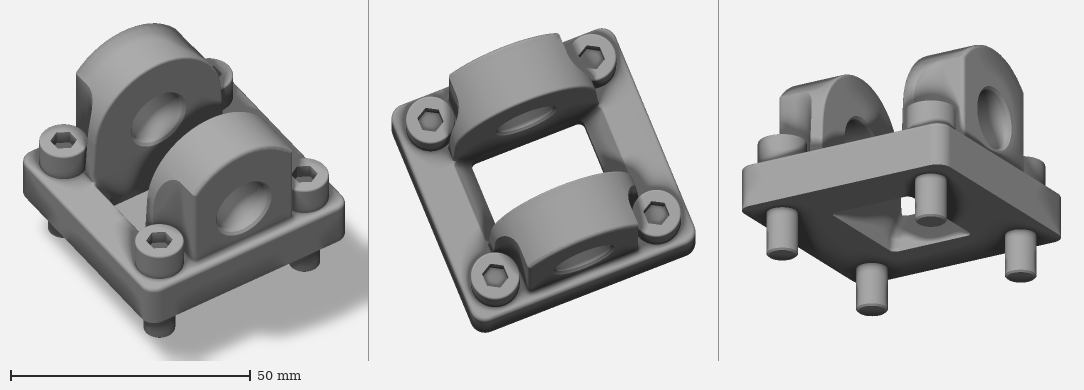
import cadquery as cq
import math

plate_size = 50.3
plate_height = 9.55
plate_corner_radius = 3.15
plate_rim_radius = 0.8

ear_outer_x = 22.7
ear_half_width = 12.4
ear_top_radius = 15.9
ear_flank_draft = 3.2
ear_edge_radius = 0.8
ear_foot_radius = 0.8
scallop_radius = 6.3
scallop_foot_x = 18.5
scallop_lean = 2.2
pivot_height = 19.05
pivot_radius = 6.4
pivot_chamfer = 0.55

opening_half_length = 9.7
opening_half_width = 12.65
opening_flare_z = 2.7
opening_flare_angle = 30.0
opening_corner_radius = 1.35
opening_rim_radius = 0.5

screw_offset = 18.15
shank_radius = 3.3
shank_protrusion = 9.5
shank_chamfer = 0.4
head_radius = 5.15
head_height = 6.35
head_edge_radius = 0.4
socket_sides = 6
socket_across_flats = 4.85
socket_depth = 3.0

pick_margin = 0.05

screw_centres = [(sx * screw_offset, sy * screw_offset) for sx in (-1, 1) for sy in (-1, 1)]
ear_top = pivot_height + ear_top_radius


def make_plate():
    return (
        cq.Workplane("XY")
        .rect(plate_size, plate_size)
        .extrude(plate_height)
        .edges("|Z")
        .fillet(plate_corner_radius)
        .faces(">Z")
        .edges()
        .fillet(plate_rim_radius)
    )


def make_ear_bar():
    """Round-topped bar along X, with flanks that run tangent to the round top."""
    draft = math.radians(ear_flank_draft)
    tangent_y = ear_top_radius * math.cos(draft)
    tangent_z = pivot_height + ear_top_radius * math.sin(draft)
    root_y = tangent_y + tangent_z * math.tan(draft)
    return (
        cq.Workplane("YZ", origin=(-ear_outer_x, 0, 0))
        .moveTo(-root_y, 0)
        .lineTo(-tangent_y, tangent_z)
        .threePointArc((0, ear_top), (tangent_y, tangent_z))
        .lineTo(root_y, 0)
        .close()
        .extrude(2 * ear_outer_x)
    )


def make_screw_clearance(x, y):
    """Leaning scallop beside a screw that runs out into the flat side of the ear."""
    height = 2 * ear_top
    centre_y = math.copysign(ear_half_width + scallop_radius, y)
    origin = (math.copysign(scallop_foot_x, x), centre_y, plate_height - ear_top / 2)
    scallop = cq.Workplane("XY", origin=origin).circle(scallop_radius).extrude(height)
    outer_block = (
        cq.Workplane("XY", origin=origin)
        .center(math.copysign(scallop_radius, x), 0)
        .rect(2 * scallop_radius, 2 * scallop_radius)
        .extrude(height)
    )
    pivot = cq.Vector(math.copysign(scallop_foot_x, x), centre_y, plate_height)
    lean = -math.copysign(scallop_lean, x)
    return scallop.union(outer_block).rotate(pivot, pivot + cq.Vector(0, 0.5, 0), lean)


def make_opening():
    """Rectangular through opening with two end walls that are upright below and flare out above."""
    flare_height = ear_top - opening_flare_z
    top_half_width = opening_half_width + flare_height * math.tan(math.radians(opening_flare_angle))
    return (
        cq.Workplane("YZ", origin=(-opening_half_length, 0, 0))
        .moveTo(-opening_half_width, 0)
        .lineTo(opening_half_width, 0)
        .lineTo(opening_half_width, opening_flare_z)
        .lineTo(top_half_width, ear_top)
        .lineTo(-top_half_width, ear_top)
        .lineTo(-opening_half_width, opening_flare_z)
        .close()
        .extrude(2 * opening_half_length)
        .faces("<X or >X")
        .edges("not #Z")
        .fillet(opening_corner_radius)
    )


def make_pivot_hole():
    """Bore through both ears, chamfered where it meets each ear face."""
    hole = (
        cq.Workplane("YZ", origin=(-ear_outer_x, 0, pivot_height))
        .circle(pivot_radius)
        .extrude(2 * ear_outer_x)
    )
    mouth_radius = pivot_radius + pivot_chamfer
    for face_x, inward in (
        (-ear_outer_x, 1),
        (-opening_half_length, -1),
        (opening_half_length, 1),
        (ear_outer_x, -1),
    ):
        mouth = cq.Solid.makeCone(
            mouth_radius,
            pivot_radius,
            pivot_chamfer,
            pnt=cq.Vector(face_x, 0, pivot_height),
            dir=cq.Vector(inward, 0, 0),
        )
        hole = hole.union(cq.Workplane(mouth))
    return hole


def make_housing():
    rim_reach = opening_half_length + pick_margin
    rim_region = cq.selectors.BoxSelector(
        (-rim_reach, -plate_size / 2, plate_height - pick_margin),
        (rim_reach, plate_size / 2, ear_top + pick_margin),
    )
    plate = make_plate().cut(make_opening()).edges(rim_region).fillet(opening_rim_radius)

    ears = make_ear_bar()
    for x, y in screw_centres:
        ears = ears.cut(make_screw_clearance(x, y))
    ears = ears.faces("<X or >X").edges("not <Z").fillet(ear_edge_radius)
    ears = ears.cut(make_opening())
    ears = ears.edges(rim_region).fillet(opening_rim_radius)

    foot_edges = cq.selectors.BoxSelector(
        (-plate_size / 2, -ear_top_radius, plate_height - pick_margin),
        (plate_size / 2, ear_top_radius, plate_height + pick_margin),
    )
    housing = plate.union(ears).edges(foot_edges).fillet(ear_foot_radius)

    housing = housing.cut(make_pivot_hole())
    for x, y in screw_centres:
        housing = housing.cut(make_screw_body(x, y))
    return housing


def make_screw_body(x, y):
    """Screw without its socket: chamfered shank and a round-edged cylindrical head."""
    shank = (
        cq.Workplane("XY", origin=(x, y, -shank_protrusion))
        .circle(shank_radius)
        .extrude(shank_protrusion + plate_height)
        .faces("<Z")
        .chamfer(shank_chamfer)
    )
    head = (
        cq.Workplane("XY", origin=(x, y, plate_height))
        .circle(head_radius)
        .extrude(head_height)
        .faces(">Z")
        .edges()
        .fillet(head_edge_radius)
    )
    return shank.union(head)


def make_screw(x, y):
    across_corners = socket_across_flats / math.cos(math.pi / socket_sides)
    socket = (
        cq.Workplane("XY", origin=(x, y, plate_height + head_height - socket_depth))
        .polygon(socket_sides, across_corners)
        .extrude(socket_depth)
    )
    return make_screw_body(x, y).cut(socket)


housing = make_housing()
screws = [make_screw(x, y) for x, y in screw_centres]

result = cq.Compound.makeCompound([housing.val(), *[screw.val() for screw in screws]])